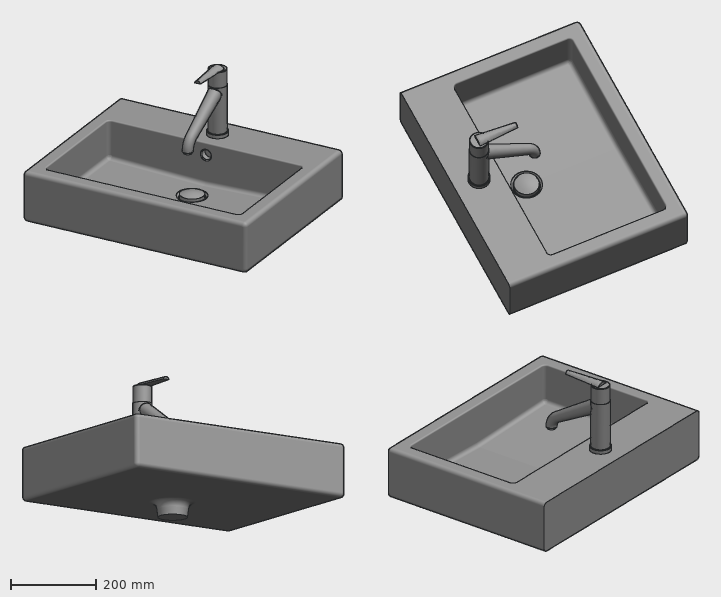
import cadquery as cq
import math


BASIN_WIDTH = 600.0
BASIN_DEPTH = 465.0
BASIN_HEIGHT = 129.5
OUTER_ROUND = 10.0

RIM_WIDTH = 35.0
LEDGE_WIDTH = 115.0
RIM_ROUND = 3.5
BOWL_ROUND = 10.0
FLOOR_FALL = 9.0
FLOOR_Z = -108.5
FLOOR_SIDE_Z = FLOOR_Z + FLOOR_FALL
BOWL_HALF_WIDTH = BASIN_WIDTH / 2 - RIM_WIDTH - RIM_ROUND
BOWL_BACK_Y = -LEDGE_WIDTH - RIM_ROUND
BOWL_FRONT_Y = -BASIN_DEPTH + RIM_WIDTH + RIM_ROUND

OVERFLOW_DIAMETER = 25.0
OVERFLOW_CHAMFER = 2.5
OVERFLOW_LENGTH = 18.0
OVERFLOW_Z = -31.0

DRAIN_Y = -186.0
SEAT_TOP_DIAMETER = 74.5
SEAT_CHAMFER = 5.0
SEAT_DIAMETER = SEAT_TOP_DIAMETER - 2 * SEAT_CHAMFER
SEAT_DEPTH = 7.0
STOPPER_DIAMETER = 60.0
STOPPER_PROUD = 5.0
STOPPER_DOME = 6.0

TAIL_TOP_DIAMETER = 74.5
TAIL_END_DIAMETER = 69.5
TAIL_LENGTH = 35.5
TAIL_FLARE = 17.5

FAUCET_Y = -62.5
RING_DIAMETER = 52.0
RING_HEIGHT = 10.0
RING_CHAMFER = 1.0
COLUMN_DIAMETER = 46.0
COLUMN_TOP = 129.5

SPOUT_SLOPE = 30.0
SPOUT_ROOT_DIAMETER = 36.0
SPOUT_ROOT_Y = FAUCET_Y - 12.0
SPOUT_TIP_DIAMETER = 26.5
SPOUT_BEND = 35.5
OUTLET_Y = -207.0
OUTLET_Z = 15.0
AERATOR_DIAMETER = 20.0
AERATOR_HEIGHT = 5.0

CAP_DIAMETER = 45.0
CAP_TOP = 171.0
CAP_CHAMFER = 1.5
LEVER_WIDTH = 31.0
LEVER_REAR_HEIGHT = 7.0
LEVER_HEIGHT = 8.5
LEVER_TIP_WIDTH = 15.5
LEVER_TIP_HEIGHT = 6.5
LEVER_REAR_Y = FAUCET_Y + 5.0
LEVER_CREST_Y = FAUCET_Y - 0.5
LEVER_TIP_Y = FAUCET_Y - 97.0


def disc(diameter, height, y, z):
    """Upright cylinder on the plane of symmetry, standing on height z."""
    return cq.Workplane("XY", origin=(0, y, z)).circle(diameter / 2).extrude(height)


def revolved(profile):
    """Turn a closed XZ profile around its own vertical axis."""
    return profile.revolve(360, (0, 0, 0), (0, 1, 0))


def make_block():
    return (
        cq.Workplane("XY", origin=(0, -BASIN_DEPTH / 2, -BASIN_HEIGHT))
        .rect(BASIN_WIDTH, BASIN_DEPTH)
        .extrude(BASIN_HEIGHT)
        .edges("not >Y")
        .fillet(OUTER_ROUND)
    )


def make_tail():
    top_radius = TAIL_TOP_DIAMETER / 2
    return revolved(
        cq.Workplane("XZ", origin=(0, DRAIN_Y, -BASIN_HEIGHT))
        .lineTo(top_radius + TAIL_FLARE, 0)
        .radiusArc((top_radius, -TAIL_FLARE), -TAIL_FLARE)
        .lineTo(TAIL_END_DIAMETER / 2, -TAIL_LENGTH)
        .lineTo(0, -TAIL_LENGTH)
        .close()
    )


def make_bowl():
    """Hollow of the bowl, with a floor that falls to a crease on the plane of symmetry."""
    hollow = (
        cq.Workplane("XZ", origin=(0, BOWL_BACK_Y, 0))
        .moveTo(-BOWL_HALF_WIDTH, 0)
        .lineTo(-BOWL_HALF_WIDTH, FLOOR_SIDE_Z)
        .lineTo(0, FLOOR_Z)
        .lineTo(BOWL_HALF_WIDTH, FLOOR_SIDE_Z)
        .lineTo(BOWL_HALF_WIDTH, 0)
        .close()
        .extrude(BOWL_BACK_Y - BOWL_FRONT_Y)
        .edges("|Z")
        .fillet(BOWL_ROUND)
    )
    floor_edges = cq.selectors.BoxSelector(
        (-BASIN_WIDTH, -BASIN_DEPTH, -BASIN_HEIGHT), (BASIN_WIDTH, 0, FLOOR_SIDE_Z + FLOOR_FALL)
    )
    crease = cq.selectors.DirectionMinMaxSelector(cq.Vector(0, 0, 1), False)
    return hollow.edges(floor_edges - crease).fillet(BOWL_ROUND)


def make_overflow():
    hole_radius = OVERFLOW_DIAMETER / 2
    mouth = cq.Workplane("XZ", origin=(0, BOWL_BACK_Y, OVERFLOW_Z))
    hole = mouth.circle(hole_radius).extrude(-OVERFLOW_LENGTH)
    bevel = cq.Solid.makeCone(
        hole_radius + OVERFLOW_CHAMFER,
        hole_radius,
        OVERFLOW_CHAMFER,
        cq.Vector(0, BOWL_BACK_Y, OVERFLOW_Z),
        cq.Vector(0, 1, 0),
    )
    return hole.union(cq.Workplane(bevel))


def make_drain_seat():
    return revolved(
        cq.Workplane("XZ", origin=(0, DRAIN_Y, FLOOR_Z))
        .moveTo(0, -SEAT_DEPTH)
        .lineTo(SEAT_DIAMETER / 2, -SEAT_DEPTH)
        .lineTo(SEAT_DIAMETER / 2, -SEAT_CHAMFER)
        .lineTo(SEAT_TOP_DIAMETER / 2, 0)
        .lineTo(SEAT_TOP_DIAMETER / 2, FLOOR_FALL)
        .lineTo(0, FLOOR_FALL)
        .close()
    )


def make_basin():
    basin = make_block().union(make_tail()).cut(make_bowl())
    opening_edges = cq.selectors.BoxSelector(
        (-BOWL_HALF_WIDTH - RIM_ROUND, BOWL_FRONT_Y - RIM_ROUND, -RIM_ROUND),
        (BOWL_HALF_WIDTH + RIM_ROUND, BOWL_BACK_Y + RIM_ROUND, RIM_ROUND),
        boundingbox=True,
    )
    basin = basin.edges(opening_edges).fillet(RIM_ROUND)
    return basin.cut(make_overflow()).cut(make_drain_seat())


def make_stopper():
    radius = STOPPER_DIAMETER / 2
    edge_height = SEAT_DEPTH + STOPPER_PROUD
    dome_radius = (radius**2 + STOPPER_DOME**2) / (2 * STOPPER_DOME)
    return revolved(
        cq.Workplane("XZ", origin=(0, DRAIN_Y, FLOOR_Z - SEAT_DEPTH))
        .lineTo(radius, 0)
        .lineTo(radius, edge_height)
        .radiusArc((0, edge_height + STOPPER_DOME), -dome_radius)
        .close()
    )


def make_base_ring():
    return disc(RING_DIAMETER, RING_HEIGHT, FAUCET_Y, 0).faces(">Z").chamfer(RING_CHAMFER)


def make_spout():
    slope = math.radians(SPOUT_SLOPE)
    joint_y = OUTLET_Y + SPOUT_BEND * (1 - math.sin(slope))
    joint_z = OUTLET_Z + SPOUT_BEND * math.cos(slope)
    run = SPOUT_ROOT_Y - joint_y
    tube = cq.Solid.makeCone(
        SPOUT_ROOT_DIAMETER / 2,
        SPOUT_TIP_DIAMETER / 2,
        run / math.cos(slope),
        cq.Vector(0, SPOUT_ROOT_Y, joint_z + run * math.tan(slope)),
        cq.Vector(0, -math.cos(slope), -math.sin(slope)),
    )
    bend = (
        cq.Workplane("XY", origin=(0, OUTLET_Y, OUTLET_Z))
        .circle(SPOUT_TIP_DIAMETER / 2)
        .revolve(90 - SPOUT_SLOPE, (6, SPOUT_BEND, 0), (-6, SPOUT_BEND, 0))
    )
    return bend.union(cq.Workplane(tube))


def make_column(spout):
    """Column with a matching socket for the spout."""
    return disc(COLUMN_DIAMETER, COLUMN_TOP - RING_HEIGHT, FAUCET_Y, RING_HEIGHT).cut(spout)


def make_aerator():
    return disc(AERATOR_DIAMETER, AERATOR_HEIGHT, OUTLET_Y, OUTLET_Z - AERATOR_HEIGHT)


def lever_section(y, width, height):
    """Cross-section of the lever: an arc over a flat bottom."""
    return (
        cq.Workplane("XZ", origin=(0, y, CAP_TOP))
        .moveTo(-width / 2, 0)
        .threePointArc((0, height), (width / 2, 0))
        .close()
        .val()
    )


def make_handle():
    cap = disc(CAP_DIAMETER, CAP_TOP - COLUMN_TOP, FAUCET_Y, COLUMN_TOP).faces(">Z").chamfer(CAP_CHAMFER)
    sections = [
        lever_section(LEVER_REAR_Y, LEVER_WIDTH, LEVER_REAR_HEIGHT),
        lever_section(LEVER_CREST_Y, LEVER_WIDTH, LEVER_HEIGHT),
        lever_section(LEVER_TIP_Y, LEVER_TIP_WIDTH, LEVER_TIP_HEIGHT),
    ]
    return cap.union(cq.Workplane(cq.Solid.makeLoft(sections, True)))


basin = make_basin()
stopper = make_stopper()
base_ring = make_base_ring()
spout = make_spout()
column = make_column(spout)
aerator = make_aerator()
handle = make_handle()

result = cq.Compound.makeCompound(
    [
        basin.val(),
        stopper.val(),
        base_ring.val(),
        column.val(),
        spout.val(),
        aerator.val(),
        handle.val(),
    ]
)